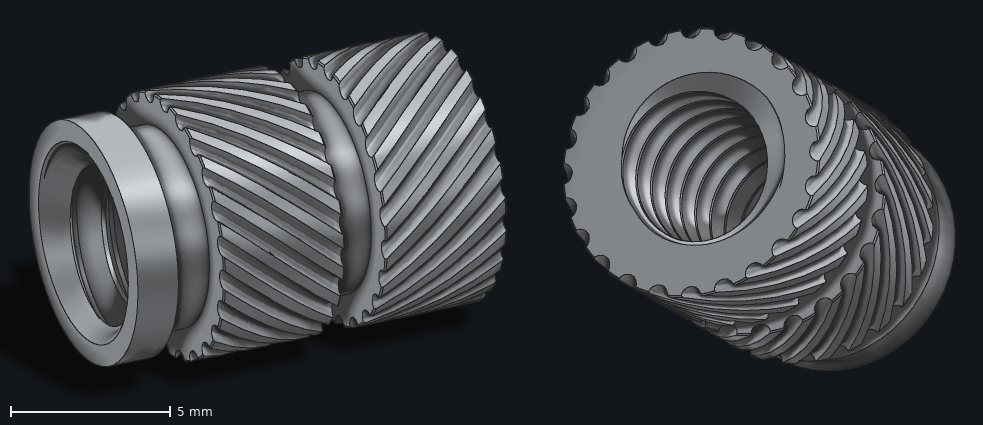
import cadquery as cq
import math

length = 12.7
step = length / 9
flange_height = step
lower_knurl_base = 2 * step
knurl_height = 3 * step
upper_knurl_base = length - knurl_height

flange_diameter = 7.92
neck_diameter = 6.55
knurl_diameter = 8.69

groove_count = 24
groove_radius = 0.33
groove_twist = 47.0
knurl_chamfer = 0.05

pitch = 1.27
major_radius = 3.18
thread_flat = pitch / 8
flank_slope = math.tan(math.radians(30))
thread_depth = (pitch / 2 - thread_flat) / flank_slope
minor_radius = major_radius - thread_depth
thread_start_angle = -166.0
thread_overlap = 0.06
bore_overrun = 2 * pitch
countersink_diameter = 6.53


def disc(diameter, height, base=0.0):
    return cq.Workplane("XY").circle(diameter / 2).extrude(height).translate((0, 0, base))


def knurl_band(base):
    return disc(knurl_diameter, knurl_height).edges().chamfer(knurl_chamfer).translate((0, 0, base))


def knurl_grooves():
    """Right-handed half-round cutters spaced around the rim, as tall as one knurled band."""
    return (
        cq.Workplane("XY")
        .polarArray(knurl_diameter / 2, 0, 360, groove_count)
        .circle(groove_radius)
        .twistExtrude(knurl_height, groove_twist)
    )


def bore_cylinder(radius):
    """Cylinder on the axis that overruns both end faces."""
    return disc(2 * radius, length + 2 * bore_overrun, -bore_overrun)


def thread_ridge():
    """Right-handed helical V-ridge, cut flat at the major radius and dipping into the bore."""
    inner_radius = minor_radius - thread_overlap
    apex_radius = major_radius + thread_flat / 2 / flank_slope
    inner_half_width = (apex_radius - inner_radius) * flank_slope
    profile = (
        cq.Workplane("XZ")
        .moveTo(inner_radius, -inner_half_width)
        .lineTo(apex_radius, 0)
        .lineTo(inner_radius, inner_half_width)
        .close()
    )
    helix = cq.Wire.makeHelix(pitch, length + 2 * pitch, minor_radius)
    ridge = profile.sweep(cq.Workplane(obj=helix), isFrenet=True).translate((0, 0, -pitch))
    ridge = ridge.rotate((0, 0, 0), (0, 0, 1), thread_start_angle)
    return ridge.intersect(bore_cylinder(major_radius))


def countersink():
    """45 degree cone from the flange face down to the bore."""
    mouth_radius = countersink_diameter / 2
    cone = cq.Solid.makeCone(mouth_radius, minor_radius, mouth_radius - minor_radius)
    return cq.Workplane(obj=cone)


body = disc(neck_diameter, length)
body = body.union(disc(flange_diameter, flange_height))
for band_base in (lower_knurl_base, upper_knurl_base):
    body = body.union(knurl_band(band_base))

threaded_bore = bore_cylinder(minor_radius).union(thread_ridge()).union(countersink())
body = body.cut(threaded_bore)

grooves = knurl_grooves()
body = body.cut(grooves.translate((0, 0, lower_knurl_base)))
body = body.cut(grooves.mirror("XY").translate((0, 0, length)))

result = body.rotate((0, 0, 0), (1, 0, 0), -90)